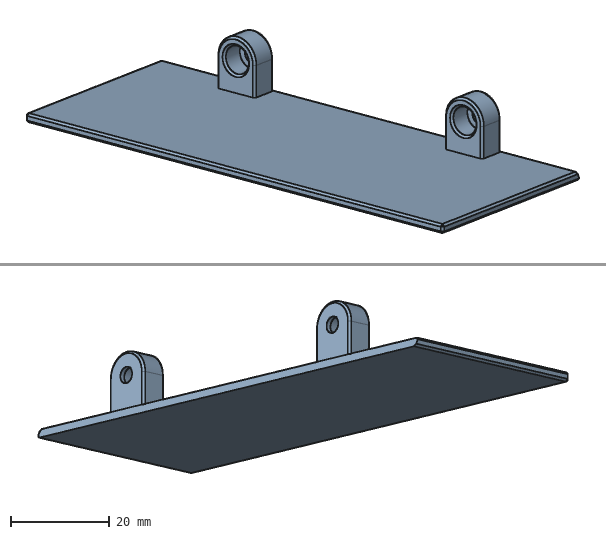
import cadquery as cq

plate_length = 110.0
plate_width = 43.8
plate_thickness = 2.0
back_slope_run = 0.82
edge_chamfer = 0.5

overall_height = 14.0
lug_width = 10.0
lug_depth = 6.0
lug_spacing = 60.0
lug_radius = lug_width / 2
hole_height = overall_height - lug_radius
lug_back = plate_width / 2 - back_slope_run

screw_diameter = 3.4
counterbore_diameter = 6.0
counterbore_depth = 5.0


def make_plate():
    """Plate with chamfered front and ends, and a back edge sloping in towards the top."""
    plate = (
        cq.Workplane("XY")
        .box(plate_length, plate_width, plate_thickness, centered=(True, True, False))
        .faces("<Y or <X or >X")
        .edges("not >Y")
        .chamfer(edge_chamfer)
    )
    back = plate_width / 2
    slope_waste = (
        cq.Workplane("YZ")
        .moveTo(back, 0)
        .lineTo(back, plate_thickness)
        .lineTo(back - back_slope_run, plate_thickness)
        .close()
        .extrude(plate_length / 2, both=True)
    )
    return plate.cut(slope_waste)


def make_lug(x_center):
    """Round-topped lug with chamfered rims and a counterbored hole along Y."""
    body = (
        cq.Workplane("XZ", origin=(x_center, lug_back, 0))
        .moveTo(-lug_radius, plate_thickness)
        .lineTo(-lug_radius, hole_height)
        .threePointArc((0, overall_height), (lug_radius, hole_height))
        .lineTo(lug_radius, plate_thickness)
        .close()
        .extrude(lug_depth)
        .faces("<Y or >Y")
        .edges("not <Z")
        .chamfer(edge_chamfer)
    )
    return (
        body.faces("<Y")
        .workplane(origin=(x_center, 0, hole_height))
        .cboreHole(screw_diameter, counterbore_diameter, counterbore_depth)
        .faces("<Y")
        .edges("%CIRCLE")
        .edges(cq.selectors.RadiusNthSelector(0))
        .chamfer(edge_chamfer)
    )


result = make_plate()
for side in (-1, 1):
    result = result.union(make_lug(side * lug_spacing / 2))